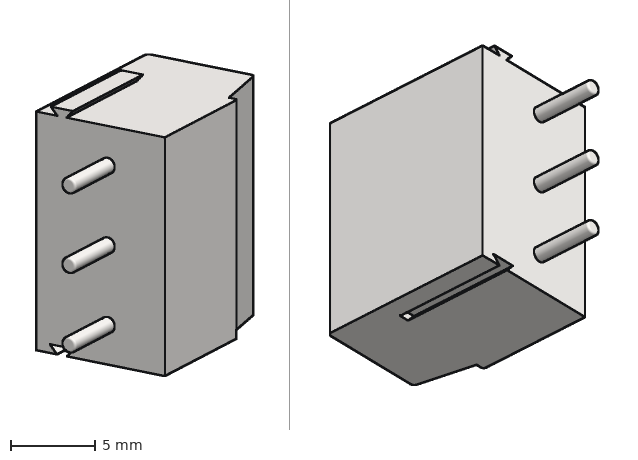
import cadquery as cq
import math


overall_depth = 16.9

body_width = 9.0
body_depth = 12.5
body_height = 15.0
step_width = 0.6
slope_run = 0.88
slope_length = 4.3
back_corner_radius = 0.3
step_corner_radius = 0.2

pin_count = 3
pin_pitch = body_height / pin_count
pin_x = 5.0
pin_diameter = 1.0
pin_length = overall_depth - body_depth
pin_tip_radius = 0.15

dovetail_x = 1.8
dovetail_angle = 48.0
rail_height = 0.49
rail_width = 1.54
rail_length = 7.9
groove_height = 0.55
groove_width = 1.69
groove_length = 8.0


def make_body():
    """Housing with a sloped back-right side that ends in a small step."""
    step_x = body_width - step_width
    step_y = body_depth - slope_length
    outline = [
        (0, 0),
        (body_width, 0),
        (body_width, step_y),
        (step_x, step_y),
        (step_x - slope_run, body_depth),
        (0, body_depth),
    ]
    body = cq.Workplane("XY").polyline(outline).close().extrude(body_height)
    body = body.edges("|Z and >Y").fillet(back_corner_radius)
    step_corner = cq.selectors.NearestToPointSelector((body_width, step_y, body_height / 2))
    return body.edges(step_corner).fillet(step_corner_radius)


def make_dovetail(width, height, length, base_z):
    """Dovetail bar running back from the front face, widest at its top."""
    half_top = width / 2
    half_base = half_top - height / math.tan(math.radians(dovetail_angle))
    section = [
        (dovetail_x - half_base, base_z),
        (dovetail_x + half_base, base_z),
        (dovetail_x + half_top, base_z + height),
        (dovetail_x - half_top, base_z + height),
    ]
    return cq.Workplane("XZ").polyline(section).close().extrude(-length)


def make_pin(z):
    """Round pin standing out of the front face, with a rounded tip."""
    pin = cq.Workplane("XZ").center(pin_x, z).circle(pin_diameter / 2).extrude(pin_length)
    return pin.faces("<Y").edges().fillet(pin_tip_radius)


rail = make_dovetail(rail_width, rail_height, rail_length, body_height)
groove = make_dovetail(groove_width, groove_height, groove_length, 0)
result = make_body().union(rail).cut(groove)

for index in range(pin_count):
    result = result.union(make_pin((index + 0.5) * pin_pitch))